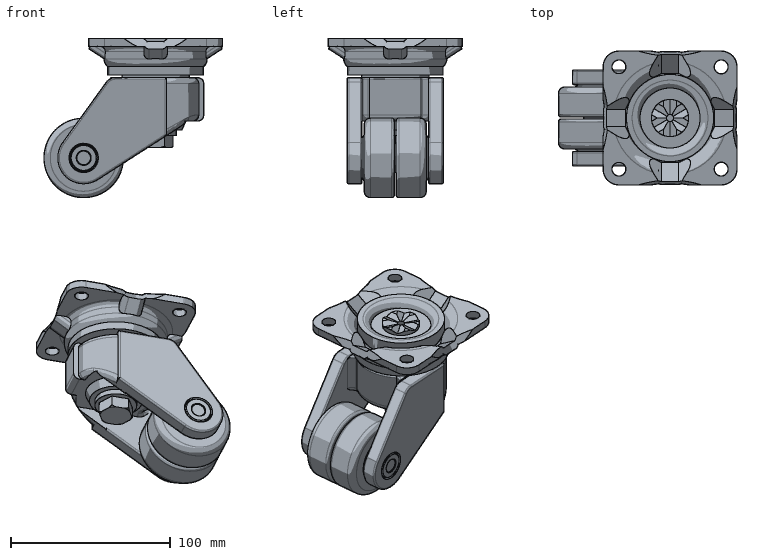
import cadquery as cq
import math


PLATE_SIDE = 84.0
PLATE_THICKNESS = 5.0
PLATE_CORNER_RADIUS = 10.0
BOLT_HOLE_OFFSET = 32.0
BOLT_HOLE_DIAMETER = 8.5

RIM_RADIUS = 27.3
BOWL_BEND_RADIUS = 8.3
BOWL_DEPTH = 17.8
BOWL_WALL_BOTTOM = -12.9
BEND_CENTER_RADIUS = RIM_RADIUS + BOWL_BEND_RADIUS
BOWL_OUTER_RADIUS = RIM_RADIUS + PLATE_THICKNESS

EDGE_CONE_RADIUS = 64.6
EDGE_CONE_INSET = 3.1
EDGE_CONE_TAPER = 0.4

RAMP_ANGLE = 33.0
RAMP_EDGE_Z = -6.5
RAMP_HALF_WIDTH = 7.4
RAMP_INNER_RADIUS = 30.8
RAMP_TOP_Z = -2.2
RAMP_FILLET = 3.4
CHANNEL_EDGE_Z = -0.6
CHANNEL_FLOOR_HALF_WIDTH = 5.4
CHANNEL_FLARE = 1.1
CHANNEL_HEIGHT = 13.4
CHANNEL_OVERRUN = 5.6
CHANNEL_LENGTH = 22.4

CUP_FLOOR_RADIUS = 18.8
CUP_DEPTH = 4.9
LOWER_RING_RADIUS = 30.0
LOWER_RING_BOTTOM = -23.1

PIN_RADIUS = 6.0
HEAD_RADIUS = 11.6
HEAD_HEIGHT = 3.0
HEAD_GROOVES = 6
GROOVE_DEPTH = 1.8
GROOVE_HALF_WIDTH = 4.0
HEAD_BORE_RADIUS = 2.2
HEAD_BORE_DEPTH = 5.6
WASHER_RADIUS = 13.1
WASHER_HEIGHT = 3.5
NUT_HEIGHT = 7.6
NUT_CORNER_RADIUS = 11.0
NUT_CHAMFER = 1.0

WHEEL_RADIUS = 25.0
AXLE_X = PLATE_SIDE / 2 - 112.0 + WHEEL_RADIUS
AXLE_Z = -74.9
WHEEL_OUTER_Y = 19.5
WHEEL_GAP = 1.1
TREAD_OUTER_FILLET = 4.0
TREAD_INNER_FILLET = 1.8
SPACER_RADIUS = 9.2
HUB_BASE_RADIUS = 14.6
HUB_FACE_RADIUS = 12.5
AXLE_RADIUS = 8.5
AXLE_CHAMFER = 0.7
AXLE_RECESS_RADIUS = 4.7
AXLE_RECESS_DEPTH = 0.5

FORK_TOP = -24.6
FORK_BOTTOM = -51.9
FORK_HALF_WIDTH = 30.1
CHEEK_INNER_Y = 20.8
CHEEK_END_RADIUS = 16.2
CHEEK_BACK_X = 7.0
CHEEK_FRONT_ANGLE = 54.2
CHEEK_BACK_ANGLE = 32.7
CHEEK_CORNER_RADIUS = 7.0
CHEEK_EDGE_FILLET = 1.0
BARREL_RADIUS = 28.6
BARREL_FILLET = 3.8
BRIDGE_FRONT_X = -23.5
BRIDGE_EDGE_FILLET = 1.0
BRIDGE_CORNER_RADIUS = 3.8
REAR_PAD_X = 30.2
REAR_PAD_HALF_WIDTH = 9.0
SKIRT_BLEND_RADIUS = 6.7
NECK_RADIUS = 21.2
BOSS_TOP_RADIUS = 19.0
BOSS_BOTTOM_RADIUS = 16.6
BOSS_BOTTOM = -57.5


def cylinder(radius, bottom, top):
    """Cylinder on the swivel axis between two heights."""
    return cq.Workplane("XY").workplane(offset=bottom).circle(radius).extrude(top - bottom)


def four_ways(shape):
    """Four copies of a shape around the swivel axis."""
    return [shape.rotate((0, 0, 0), (0, 0, 1), 90 * turn) for turn in range(4)]


def plate_bowl():
    """Pressed bowl with a rounded lip, as a filled body."""
    diagonal = math.sqrt(0.5)
    bend_z = -BOWL_BEND_RADIUS
    under_bend = BOWL_BEND_RADIUS - PLATE_THICKNESS
    drop = BOWL_DEPTH + BOWL_WALL_BOTTOM
    inset = BOWL_OUTER_RADIUS - LOWER_RING_RADIUS
    bottom_radius = (drop ** 2 + inset ** 2) / (2 * inset)
    half_sweep = math.asin(drop / bottom_radius) / 2
    bottom_middle = (
        BOWL_OUTER_RADIUS - bottom_radius * (1 - math.cos(half_sweep)),
        BOWL_WALL_BOTTOM - bottom_radius * math.sin(half_sweep),
    )
    return (
        cq.Workplane("XZ")
        .moveTo(0, bend_z)
        .lineTo(RIM_RADIUS, bend_z)
        .threePointArc(
            (BEND_CENTER_RADIUS - BOWL_BEND_RADIUS * diagonal, bend_z + BOWL_BEND_RADIUS * diagonal),
            (BEND_CENTER_RADIUS, 0),
        )
        .lineTo(BEND_CENTER_RADIUS, -PLATE_THICKNESS)
        .threePointArc(
            (BEND_CENTER_RADIUS - under_bend * diagonal, bend_z + under_bend * diagonal),
            (BOWL_OUTER_RADIUS, bend_z),
        )
        .lineTo(BOWL_OUTER_RADIUS, BOWL_WALL_BOTTOM)
        .threePointArc(bottom_middle, (LOWER_RING_RADIUS, -BOWL_DEPTH))
        .lineTo(0, -BOWL_DEPTH)
        .close()
        .revolve(360, (0, 0, 0), (0, 1, 0))
    )


def ramp():
    """Sloping underside of the pressed channel on the +X side."""
    edge = PLATE_SIDE / 2
    inner_z = RAMP_EDGE_Z - (edge - RAMP_INNER_RADIUS) * math.tan(math.radians(RAMP_ANGLE))
    return (
        cq.Workplane("XZ")
        .polyline([
            (edge, RAMP_EDGE_Z),
            (edge, RAMP_TOP_Z),
            (RAMP_INNER_RADIUS, RAMP_TOP_Z),
            (RAMP_INNER_RADIUS, inner_z),
        ])
        .close()
        .extrude(RAMP_HALF_WIDTH, both=True)
        .faces(cq.selectors.DirectionMinMaxSelector(cq.Vector(1, 0, -2), True))
        .edges("not(|Y)")
        .fillet(RAMP_FILLET)
    )


def channel():
    """Flared cut of the pressed channel on the +X side."""
    top_half_width = CHANNEL_FLOOR_HALF_WIDTH + CHANNEL_FLARE * CHANNEL_HEIGHT
    cut = (
        cq.Workplane("YZ")
        .polyline([
            (-CHANNEL_FLOOR_HALF_WIDTH, 0),
            (CHANNEL_FLOOR_HALF_WIDTH, 0),
            (top_half_width, CHANNEL_HEIGHT),
            (-top_half_width, CHANNEL_HEIGHT),
        ])
        .close()
        .extrude(CHANNEL_LENGTH)
        .translate((CHANNEL_OVERRUN - CHANNEL_LENGTH, 0, 0))
        .rotate((0, 0, 0), (0, 1, 0), -RAMP_ANGLE)
    )
    return cut.translate((PLATE_SIDE / 2, 0, CHANNEL_EDGE_Z))


def edge_hollow():
    """Cone that hollows the middle of the +X edge of the plate."""
    depth = BOWL_DEPTH
    bottom_radius = EDGE_CONE_RADIUS - EDGE_CONE_TAPER * depth
    cone = cq.Solid.makeCone(bottom_radius, EDGE_CONE_RADIUS, depth)
    center_x = PLATE_SIDE / 2 - EDGE_CONE_INSET + EDGE_CONE_RADIUS
    return cq.Workplane(cone).translate((center_x, 0, -depth))


def bearing():
    """Rim with a dished top and the ring under the bowl."""
    dish_radius = CUP_DEPTH
    diagonal = math.sqrt(0.5)
    lip_radius = CUP_FLOOR_RADIUS + dish_radius
    return (
        cq.Workplane("XZ")
        .moveTo(0, -CUP_DEPTH)
        .lineTo(CUP_FLOOR_RADIUS, -CUP_DEPTH)
        .threePointArc((lip_radius - dish_radius * diagonal, dish_radius * (diagonal - 1)), (lip_radius, 0))
        .lineTo(RIM_RADIUS, 0)
        .lineTo(RIM_RADIUS, -BOWL_DEPTH)
        .lineTo(LOWER_RING_RADIUS, -BOWL_DEPTH)
        .lineTo(LOWER_RING_RADIUS, LOWER_RING_BOTTOM)
        .lineTo(0, LOWER_RING_BOTTOM)
        .close()
        .revolve(360, (0, 0, 0), (0, 1, 0))
    )


def make_plate():
    plate = (
        cq.Workplane("XY")
        .rect(PLATE_SIDE, PLATE_SIDE)
        .extrude(-PLATE_THICKNESS)
        .edges("|Z")
        .fillet(PLATE_CORNER_RADIUS)
        .cut(cylinder(BEND_CENTER_RADIUS, -PLATE_THICKNESS, 0))
        .union(plate_bowl())
    )
    for copy in four_ways(ramp()):
        plate = plate.union(copy)
    for copy in four_ways(channel()) + four_ways(edge_hollow()):
        plate = plate.cut(copy)
    bolt_holes = (
        cq.Workplane("XY")
        .rect(2 * BOLT_HOLE_OFFSET, 2 * BOLT_HOLE_OFFSET, forConstruction=True)
        .vertices()
        .circle(BOLT_HOLE_DIAMETER / 2)
        .extrude(-PLATE_THICKNESS)
    )
    pin_hole = cylinder(PIN_RADIUS, LOWER_RING_BOTTOM, 0)
    return plate.cut(bolt_holes).union(bearing()).cut(pin_hole)


def head_groove(angle):
    """V groove across the kingpin head, from the axis outwards."""
    top = HEAD_HEIGHT - CUP_DEPTH
    return (
        cq.Workplane("YZ")
        .polyline([
            (0, top - GROOVE_DEPTH),
            (GROOVE_HALF_WIDTH, top),
            (-GROOVE_HALF_WIDTH, top),
        ])
        .close()
        .extrude(HEAD_RADIUS)
        .rotate((0, 0, 0), (0, 0, 1), angle)
    )


def make_kingpin():
    head_top = HEAD_HEIGHT - CUP_DEPTH
    washer_bottom = BOSS_BOTTOM - WASHER_HEIGHT
    nut_bottom = washer_bottom - NUT_HEIGHT
    head = cylinder(HEAD_RADIUS, -CUP_DEPTH, head_top)
    pitch = 360 / HEAD_GROOVES
    for index in range(HEAD_GROOVES):
        head = head.cut(head_groove((index + 0.5) * pitch))
    nut = (
        cq.Workplane("XY")
        .workplane(offset=nut_bottom)
        .polygon(6, 2 * NUT_CORNER_RADIUS)
        .extrude(NUT_HEIGHT)
    )
    nut_rounding = cylinder(NUT_CORNER_RADIUS, nut_bottom, washer_bottom).faces("<Z").chamfer(NUT_CHAMFER)
    return (
        head
        .union(cylinder(PIN_RADIUS, washer_bottom, -CUP_DEPTH))
        .union(cylinder(WASHER_RADIUS, washer_bottom, BOSS_BOTTOM))
        .union(nut.intersect(nut_rounding))
        .cut(cylinder(HEAD_BORE_RADIUS, head_top - HEAD_BORE_DEPTH, head_top))
    )


def cheek_back_z(x):
    """Height of the lower sloping edge of the cheeks."""
    slope = math.radians(CHEEK_BACK_ANGLE)
    return AXLE_Z + (x - AXLE_X) * math.tan(slope) - CHEEK_END_RADIUS / math.cos(slope)


def cheek_slab(half_width):
    """Side outline of the cheeks, rounded about the axle, as a slab centred on Y = 0."""
    front = math.radians(CHEEK_FRONT_ANGLE)
    back = math.radians(CHEEK_BACK_ANGLE)
    middle = (front - back) / 2
    front_tangent = (
        AXLE_X - CHEEK_END_RADIUS * math.sin(front),
        AXLE_Z + CHEEK_END_RADIUS * math.cos(front),
    )
    back_tangent = (
        AXLE_X + CHEEK_END_RADIUS * math.sin(back),
        AXLE_Z - CHEEK_END_RADIUS * math.cos(back),
    )
    arc_middle = (
        AXLE_X - CHEEK_END_RADIUS * math.cos(middle),
        AXLE_Z - CHEEK_END_RADIUS * math.sin(middle),
    )
    corner_x = front_tangent[0] + (FORK_TOP - front_tangent[1]) / math.tan(front)
    corner = cq.selectors.NearestToPointSelector((corner_x, 0, FORK_TOP))
    return (
        cq.Workplane("XZ")
        .moveTo(*front_tangent)
        .threePointArc(arc_middle, back_tangent)
        .lineTo(CHEEK_BACK_X, cheek_back_z(CHEEK_BACK_X))
        .lineTo(CHEEK_BACK_X, FORK_TOP)
        .lineTo(corner_x, FORK_TOP)
        .close()
        .extrude(half_width, both=True)
        .edges(corner)
        .fillet(CHEEK_CORNER_RADIUS)
    )


def cheek():
    """Cheek on the -Y side with rounded edges."""
    thickness = FORK_HALF_WIDTH - CHEEK_INNER_Y
    slab = cheek_slab(thickness / 2).faces("<Y or >Y").edges().fillet(CHEEK_EDGE_FILLET)
    return slab.translate((0, -CHEEK_INNER_Y - thickness / 2, 0))


def half_space(x_min, x_max):
    """Block wide enough to keep one end of the barrel."""
    reach = 2 * BARREL_RADIUS
    return cq.Workplane("XY").box(x_max - x_min, 2 * reach, 4 * reach).translate(((x_min + x_max) / 2, 0, 0))


def barrel_back():
    """Rear of the barrel, with skirts that follow the lower edge of the cheeks."""
    lowest = cheek_back_z(0)
    flat_x = (FORK_BOTTOM - cheek_back_z(0)) / math.tan(math.radians(CHEEK_BACK_ANGLE))
    reach = 2 * BARREL_RADIUS
    side = (
        cq.Workplane("XZ")
        .polyline([(0, FORK_TOP), (0, lowest), (flat_x, FORK_BOTTOM), (reach, FORK_BOTTOM), (reach, FORK_TOP)])
        .close()
        .extrude(reach, both=True)
    )
    bend = cq.selectors.NearestToPointSelector((flat_x, 0, FORK_BOTTOM))
    side = side.edges(bend).fillet(SKIRT_BLEND_RADIUS)
    back = cylinder(BARREL_RADIUS, lowest, FORK_TOP).intersect(side)
    outline = cq.selectors.BoxSelector((0.1, -reach, lowest - 1.1), (reach, reach, FORK_TOP + 1.1))
    back = back.edges("%CIRCLE or %ELLIPSE or %BSPLINE").edges(outline).fillet(BARREL_FILLET)
    middle = cq.Workplane("XY").box(4 * reach, 2 * CHEEK_INNER_Y, reach)
    return back.cut(middle.translate((0, 0, FORK_BOTTOM - reach / 2)))


def bridge():
    """Front of the barrel and the wall that joins the cheeks."""
    reach = 2 * BARREL_RADIUS
    front = cylinder(BARREL_RADIUS, FORK_BOTTOM, FORK_TOP)
    front = front.faces(">Z").edges().fillet(BRIDGE_EDGE_FILLET)
    front = front.faces("<Z").edges().fillet(BARREL_FILLET).intersect(half_space(-reach, 0))
    corner_x = BRIDGE_FRONT_X - BRIDGE_CORNER_RADIUS
    corner_y = CHEEK_INNER_Y - BRIDGE_CORNER_RADIUS
    wall = (
        cq.Workplane("XY")
        .workplane(offset=FORK_BOTTOM)
        .moveTo(CHEEK_BACK_X, -CHEEK_INNER_Y)
        .lineTo(corner_x, -CHEEK_INNER_Y)
        .radiusArc((BRIDGE_FRONT_X, -corner_y), -BRIDGE_CORNER_RADIUS)
        .lineTo(BRIDGE_FRONT_X, corner_y)
        .radiusArc((corner_x, CHEEK_INNER_Y), -BRIDGE_CORNER_RADIUS)
        .lineTo(CHEEK_BACK_X, CHEEK_INNER_Y)
        .close()
        .extrude(FORK_TOP - FORK_BOTTOM)
    )
    front_face = cq.selectors.BoxSelector(
        (corner_x - 1.1, -CHEEK_INNER_Y, FORK_BOTTOM - 1.1),
        (BRIDGE_FRONT_X + 1.1, CHEEK_INNER_Y, FORK_TOP + 1.1),
    )
    wall = wall.faces(">Z").edges(front_face).fillet(BRIDGE_EDGE_FILLET)
    wall = wall.faces("<Z").edges(front_face).fillet(BARREL_FILLET)
    return front.union(wall.intersect(cheek_slab(CHEEK_INNER_Y)))


def rear_pad():
    """Flat pad on the back of the barrel."""
    return (
        cq.Workplane("XY")
        .box(REAR_PAD_X, 2 * REAR_PAD_HALF_WIDTH, FORK_TOP - FORK_BOTTOM)
        .translate((REAR_PAD_X / 2, 0, (FORK_TOP + FORK_BOTTOM) / 2))
        .edges(">X and (>Z or <Z)")
        .fillet(BARREL_FILLET)
    )


def make_fork():
    boss = cq.Solid.makeCone(BOSS_BOTTOM_RADIUS, BOSS_TOP_RADIUS, FORK_BOTTOM - BOSS_BOTTOM)
    fork = (
        barrel_back()
        .union(bridge())
        .union(rear_pad())
        .union(cheek())
        .union(cheek().mirror("XZ"))
        .union(cylinder(NECK_RADIUS, FORK_TOP, LOWER_RING_BOTTOM))
        .union(cq.Workplane(boss).translate((0, 0, BOSS_BOTTOM)))
    )
    pin_hole = cylinder(PIN_RADIUS, BOSS_BOTTOM, LOWER_RING_BOTTOM)
    axle_hole = turned_on_axle([
        (0, 0),
        (AXLE_RADIUS, 0),
        (AXLE_RADIUS, FORK_HALF_WIDTH - AXLE_CHAMFER),
        (AXLE_RADIUS + AXLE_CHAMFER, FORK_HALF_WIDTH),
        (0, FORK_HALF_WIDTH),
    ])
    return fork.cut(pin_hole).cut(axle_hole)


def turned_on_axle(profile):
    """Body turned about the axle and mirrored across Y = 0; points are (radius, y)."""
    half = cq.Workplane("XY").polyline(profile).close().revolve(360, (0, 0, 0), (0, 1, 0))
    return half.union(half.mirror("XZ")).translate((AXLE_X, 0, AXLE_Z))


def make_wheels():
    inner_y = WHEEL_GAP / 2
    tire = (
        cq.Workplane("XZ", origin=(0, inner_y, 0))
        .circle(WHEEL_RADIUS)
        .extrude(inner_y - WHEEL_OUTER_Y)
        .faces(">Y").edges().fillet(TREAD_OUTER_FILLET)
        .faces("<Y").edges().fillet(TREAD_INNER_FILLET)
    )
    tires = tire.union(tire.mirror("XZ")).translate((AXLE_X, 0, AXLE_Z))
    hub = turned_on_axle([
        (0, 0),
        (SPACER_RADIUS, 0),
        (SPACER_RADIUS, inner_y),
        (HUB_BASE_RADIUS, inner_y),
        (HUB_BASE_RADIUS, WHEEL_OUTER_Y),
        (HUB_FACE_RADIUS, CHEEK_INNER_Y),
        (0, CHEEK_INNER_Y),
    ])
    bore = turned_on_axle([(0, 0), (AXLE_RADIUS, 0), (AXLE_RADIUS, CHEEK_INNER_Y), (0, CHEEK_INNER_Y)])
    return tires.union(hub).cut(bore)


def make_axle():
    recess_floor = FORK_HALF_WIDTH - AXLE_RECESS_DEPTH
    return turned_on_axle([
        (0, 0),
        (AXLE_RADIUS, 0),
        (AXLE_RADIUS, FORK_HALF_WIDTH - AXLE_CHAMFER),
        (AXLE_RADIUS - AXLE_CHAMFER, FORK_HALF_WIDTH),
        (AXLE_RECESS_RADIUS, FORK_HALF_WIDTH),
        (AXLE_RECESS_RADIUS - AXLE_RECESS_DEPTH, recess_floor),
        (0, recess_floor),
    ])


plate = make_plate()
kingpin = make_kingpin()
fork = make_fork()
wheels = make_wheels()
axle = make_axle()

result = cq.Compound.makeCompound([plate.val(), kingpin.val(), fork.val(), wheels.val(), axle.val()])